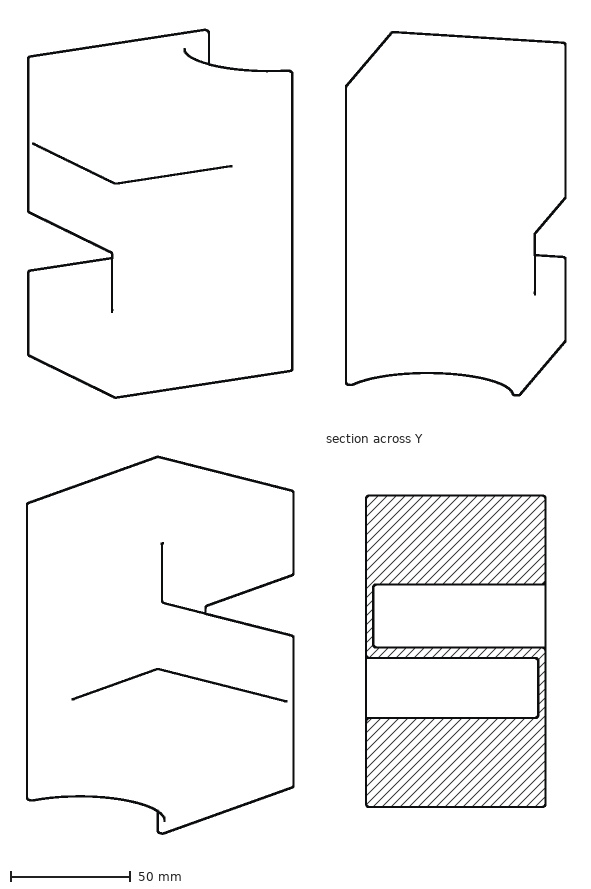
import cadquery as cq

width = 75.06
depth = 85.72
height = 130.3
outer_edge_radius = 1.25

cradle_radius = 35.5
cradle_depth = 26.0

slot_depth = 57.2
slot_end_wall = 3.1
slot_corner_radius = 1.25
upper_slot_height = 26.25
lower_slot_height = 25.0
shelf_thickness = 4.5

slots_total_height = lower_slot_height + shelf_thickness + upper_slot_height
lower_slot_bottom = (height - slots_total_height) / 2
upper_slot_bottom = lower_slot_bottom + lower_slot_height + shelf_thickness

touch_tolerance = 1e-3


def make_block():
    """Plain block with the cylindrical cradle cut into its +Y side."""
    block = cq.Workplane("XY").box(width, depth, height, centered=(True, True, False))
    cradle_center_y = depth / 2 - cradle_depth + cradle_radius
    cradle = cq.Workplane("XY").center(0, cradle_center_y).circle(cradle_radius).extrude(height)
    return block.cut(cradle)


def make_slot(bottom, slot_height, open_side):
    """Sharp-edged slot volume; open_side is +1 for the +X side and -1 for the -X side."""
    center_x = open_side * slot_end_wall / 2
    center_y = (slot_depth - depth) / 2
    return (
        cq.Workplane("XY", origin=(center_x, center_y, bottom))
        .box(width - slot_end_wall, slot_depth, slot_height, centered=(True, True, False))
    )


def lies_on_block_face(edge):
    """True for an edge that lies in one of the six planes bounding the block."""
    box = edge.BoundingBox()
    gaps = (
        box.xmax + width / 2,
        width / 2 - box.xmin,
        box.ymax + depth / 2,
        depth / 2 - box.ymin,
        box.zmax,
        height - box.zmin,
    )
    return min(gaps) < touch_tolerance


def is_slot_corner(edge, bottom, slot_height, open_side):
    """True for an edge where two of the slot's four inside faces (back, end, floor, roof) meet."""
    center = edge.Center()
    distances = (
        center.y - (slot_depth - depth / 2),
        center.x - open_side * (slot_end_wall - width / 2),
        center.z - bottom,
        center.z - (bottom + slot_height),
    )
    touched_faces = [distance for distance in distances if abs(distance) < touch_tolerance]
    return len(touched_faces) == 2


def round_outer_edges(body):
    """Round the block edges, the cradle rims and the slot mouths."""
    outer_edges = [edge for edge in body.edges().vals() if lies_on_block_face(edge)]
    return body.newObject(outer_edges).fillet(outer_edge_radius)


def round_slot_corners(body, bottom, slot_height, open_side):
    """Fill the inside corners of one slot with a small radius."""
    corners = [
        edge
        for edge in body.edges().vals()
        if is_slot_corner(edge, bottom, slot_height, open_side)
    ]
    return body.newObject(corners).fillet(slot_corner_radius)


slots = (
    (lower_slot_bottom, lower_slot_height, -1),
    (upper_slot_bottom, upper_slot_height, 1),
)

result = make_block()
for slot in slots:
    result = result.cut(make_slot(*slot))
result = round_outer_edges(result)
for slot in slots:
    result = round_slot_corners(result, *slot)